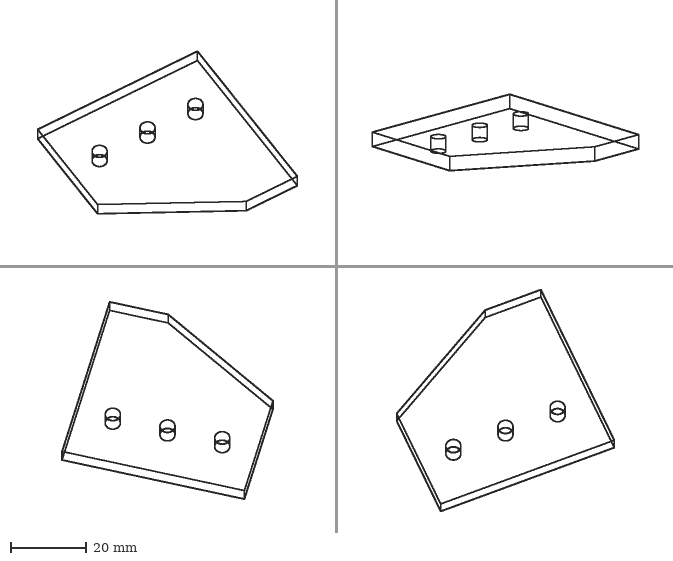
import cadquery as cq

side = 50.0
thickness = 4.0

bottom_edge_length = 30.0
cut_height = 33.95

hole_diameter = 4.0
hole_x = 15.0
hole_pitch = 15.0
hole_count = 3

outline = [
    (0, 0),
    (bottom_edge_length, 0),
    (side, cut_height),
    (side, side),
    (0, side),
]
plate = cq.Workplane("XY").polyline(outline).close().extrude(thickness)

holes = (
    cq.Workplane("XY")
    .center(hole_x, side / 2)
    .rarray(0.5, hole_pitch, 1, hole_count)
    .circle(hole_diameter / 2)
    .extrude(thickness)
)

result = plate.cut(holes)